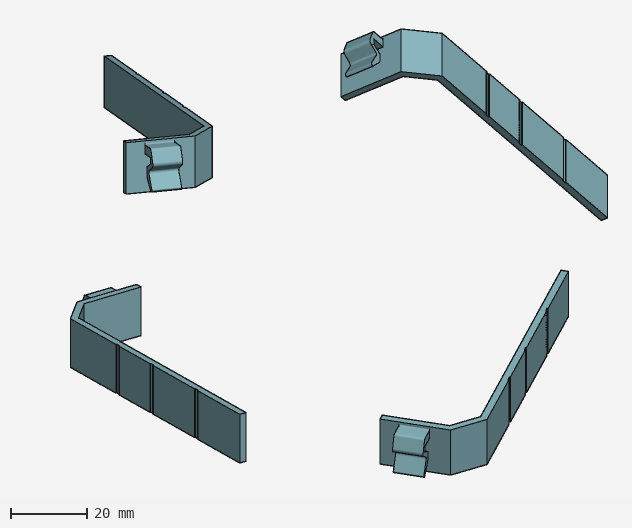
import cadquery as cq
import math

total_length = 89.7
depth = 27.0
height = 14.0

thickness = 2.1
wall_x = 83.6
outer_bend = 7.7
inner_bend = outer_bend - thickness * (2 - math.sqrt(2))

groove_centers = [19.65, 39.65, 54.8]
groove_width = 1.3
groove_depth = 0.3

clip_back = 13.5
clip_width = 8.3
clip_reach = total_length - wall_x
clip_top = 1.1
clip_bar = 2.4
root_fillet = 0.4

nose_overhang = 0.24
clip_corners = [
    (0, clip_top, 0),
    (4.6, clip_top, 0.8),
    (clip_reach + nose_overhang, 5.4, 1.0),
    (2.9, 7.6, 0.7),
    (5.5, 12.2, 0.3),
    (4.8, 12.8, 0.3),
    (1.5, 9.3, 0.7),
    (1.5, 6.7, 0),
    (4.3, 5.2, 0),
    (4.3, clip_top + clip_bar, 0),
    (0, clip_top + clip_bar, 0),
]


def make_strip():
    inner_wall_x = wall_x - thickness
    outline = [
        (0, 0),
        (wall_x - outer_bend, 0),
        (wall_x, -outer_bend),
        (wall_x, -depth),
        (inner_wall_x, -depth),
        (inner_wall_x, -thickness - inner_bend),
        (inner_wall_x - inner_bend, -thickness),
        (0, -thickness),
    ]
    return cq.Workplane("XY").polyline(outline).close().extrude(height)


def make_grooves():
    return (
        cq.Workplane("XY")
        .pushPoints([(x, 0) for x in groove_centers])
        .rect(groove_width, 2 * groove_depth)
        .extrude(height)
    )


def make_clip():
    outline = [(wall_x + out, height - down) for out, down, radius in clip_corners]
    clip = (
        cq.Workplane("XZ", origin=(0, -clip_back, 0))
        .polyline(outline)
        .close()
        .extrude(clip_width)
    )
    middle_y = -clip_back - clip_width / 2
    for (x, z), (out, down, radius) in zip(outline, clip_corners):
        if radius > 0:
            corner = cq.selectors.NearestToPointSelector((x, middle_y, z))
            clip = clip.edges("|Y").edges(corner).fillet(radius)
    return clip


def make_root_fillet():
    top_z = height - clip_top
    middle = root_fillet * (1 - math.sqrt(0.5))
    return (
        cq.Workplane("XZ", origin=(0, -clip_back, 0))
        .moveTo(wall_x, top_z)
        .lineTo(wall_x, top_z + root_fillet)
        .threePointArc((wall_x + middle, top_z + middle), (wall_x + root_fillet, top_z))
        .close()
        .extrude(clip_width)
    )


result = make_strip().cut(make_grooves()).union(make_clip()).union(make_root_fillet())